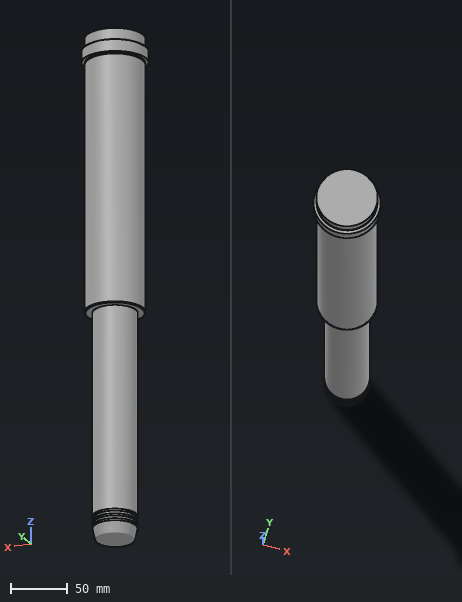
import cadquery as cq

total_length = 473.0
sleeve_bottom = 214.5
sleeve_chamfer = 1.0
cap_height = 12.0
flange_height = 11.0
neck_height = 1.5

flange_diameter = 59.0
sleeve_diameter = 54.0
neck_diameter = 53.0
pin_diameter = 40.0
tip_diameter = 35.0

nose_length = 11.5
groove_width = 2.0
groove_depth = 0.5
groove_pitch = 4.5
groove_count = 3
tip_fillet = 1.5


def cylinder(diameter, bottom, top):
    """Cylinder on the Z axis between two heights."""
    return cq.Workplane("XY").workplane(offset=bottom).circle(diameter / 2).extrude(top - bottom)


def nose():
    """Cone widening from the rounded tip up to the pin diameter."""
    cone = (
        cq.Workplane("XY")
        .circle(tip_diameter / 2)
        .workplane(offset=nose_length)
        .circle(pin_diameter / 2)
        .loft(ruled=True)
    )
    return cone.faces("<Z").edges().fillet(tip_fillet)


def ring_groove(bottom, top, core_diameter):
    """Ring of material whose removal leaves a core of the given diameter."""
    return cylinder(flange_diameter, bottom, top).cut(cylinder(core_diameter, bottom, top))


pin = nose().union(cylinder(pin_diameter, nose_length, sleeve_bottom))
for index in range(groove_count):
    groove_bottom = nose_length + index * groove_pitch
    groove_top = groove_bottom + groove_width
    pin = pin.cut(ring_groove(groove_bottom, groove_top, pin_diameter - 2 * groove_depth))

sleeve = cylinder(sleeve_diameter, sleeve_bottom, total_length).faces("<Z").chamfer(sleeve_chamfer)
flange_top = total_length - cap_height
flange_bottom = flange_top - flange_height
flange = cylinder(flange_diameter, flange_bottom, flange_top)
relief = ring_groove(flange_bottom - neck_height, flange_top + neck_height, neck_diameter)

result = pin.union(sleeve.cut(relief)).union(flange)